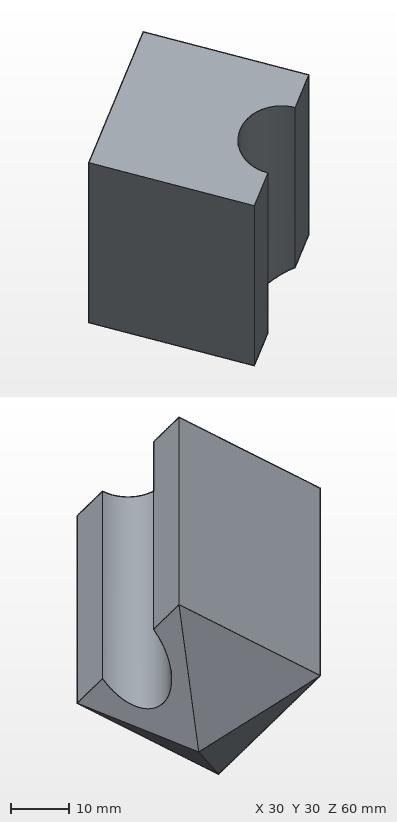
import cadquery as cq

height = 60.0
width = 30.0
tip_height = width / 2
groove_radius = width / 4


def pointed_prism(plane):
    """Bar with a V-shaped lower end, its profile drawn on a vertical plane."""
    half = width / 2
    profile = [
        (0, 0),
        (half, tip_height),
        (half, height),
        (-half, height),
        (-half, tip_height),
    ]
    return cq.Workplane(plane).polyline(profile).close().extrude(half, both=True)


post = pointed_prism("XZ").intersect(pointed_prism("YZ"))

groove = cq.Workplane("XY").center(width / 2, 0).circle(groove_radius).extrude(height)

result = post.cut(groove)